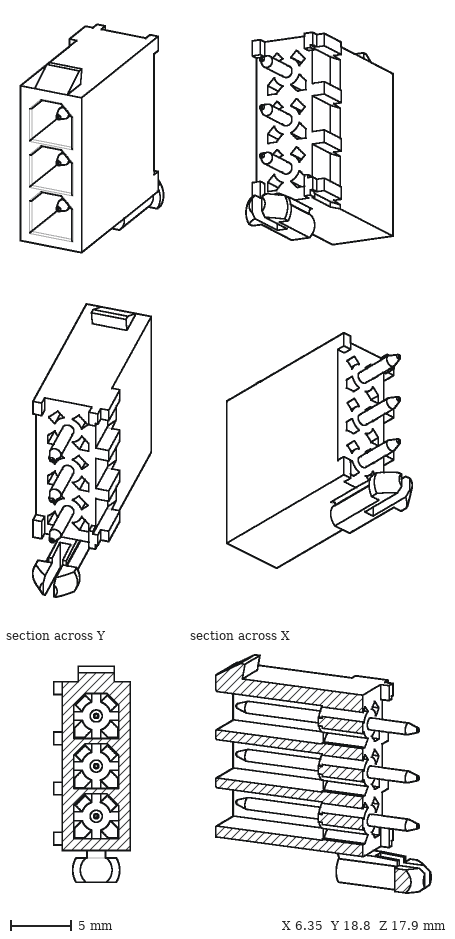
import cadquery as cq
import math

body_width = 5.65
body_depth = 13.52
body_height = 13.97
contact_count = 3
pitch = 4.15
center_x = body_width / 2
center_z = body_height / 2

cavity_width = 4.0
cavity_corner = 1.05
lead_in_radius = 0.15
cavity_depth = 9.39

hub_radius = 1.22
arm_width = 0.71
floor_step = 0.38
window_inset = 0.23
window_width = 1.13

pin_diameter = 1.0
pin_front = 1.28
pin_back = 18.01
pin_taper = 1.01
pin_tip = 0.11
pin_tip_base_radius = 0.2
pin_end_radius = 0.1

rib_projection = 0.7
rib_thickness = 1.07
rib_front = 10.52
recess_depth = 0.43
ramp_front = 9.39
ramp_back = 10.3
recess_narrowing = 0.1
foot_recess_depth = recess_depth / 2

foot_width = 0.77
foot_length = 0.77
upper_foot_height = 1.3
lower_foot_height = 1.78
foot_back = body_depth + foot_length

latch_width = 3.0
latch_height = 1.3
latch_ramp_end = 2.25
latch_top_back = 2.72
latch_foot_back = 2.48

peg_front = 11.05
peg_back = 18.78
peg_height = 2.03
peg_drop = 0.6
peg_radius = 1.31
head_front = 16.41
head_cone_front = 17.05
head_radius = 1.95
head_end_radius = 0.75
slot_width = 0.92
neck_width = 1.54
neck_fillet = peg_drop
neck_fall = 0.13
peg_center_z = -peg_drop - peg_height / 2


def block(x0, x1, y0, y1, z0, z1):
    """Box between two opposite corners."""
    return cq.Workplane("XY").box(x1 - x0, y1 - y0, z1 - z0, centered=False).translate((x0, y0, z0))


def section(y, z):
    """XZ work plane at depth y, centred across the housing at height z."""
    return cq.Workplane("XZ", origin=(center_x, y, z))


def cavity_outline(inset):
    """Square with its two upper corners cut off, offset inwards by inset."""
    half = cavity_width / 2 - inset
    corner = half - (cavity_corner - inset * (2 - math.sqrt(2)))
    return [(-half, -half), (half, -half), (half, corner), (corner, half), (-corner, half), (-half, corner)]


def cavity_prism(z, inset, y0, y1):
    return section(y0, z).polyline(cavity_outline(inset)).close().extrude(y0 - y1)


def disc(z, radius, y0, y1):
    return section(y0, z).circle(radius).extrude(y0 - y1)


def cavity(z):
    """Everything removed from the housing for one contact, before its mouth is rounded."""
    pocket = cavity_prism(z, lead_in_radius, 0, cavity_depth)

    floor_y = cavity_depth + floor_step
    hub = disc(z, hub_radius, cavity_depth, body_depth)
    arms = (
        section(cavity_depth, z).rect(arm_width, cavity_width).extrude(-floor_step)
        .union(section(cavity_depth, z).rect(cavity_width, arm_width).extrude(-floor_step))
    )
    step = cavity_prism(z, lead_in_radius, cavity_depth, floor_y).cut(arms).cut(hub)

    windows = cavity_prism(z, window_inset, cavity_depth, body_depth).cut(hub)
    diagonals = cq.Workplane("XY")
    for angle in (45, -45):
        diagonals = diagonals.union(
            section(cavity_depth, z)
            .transformed(rotate=(0, 0, angle))
            .rect(window_width, 2 * cavity_width)
            .extrude(cavity_depth - body_depth)
        )
    return pocket.union(step).union(windows.intersect(diagonals))


def pin(z):
    radius = pin_diameter / 2
    profile = [
        (0, pin_front),
        (pin_end_radius, pin_front),
        (pin_tip_base_radius, pin_front + pin_tip),
        (radius, pin_front + pin_taper),
        (radius, pin_back - pin_taper),
        (pin_tip_base_radius, pin_back - pin_tip),
        (pin_end_radius, pin_back),
        (0, pin_back),
    ]
    shape = cq.Workplane("XY").polyline(profile).close().revolve(360, (0, 0), (0, 1))
    return shape.translate((center_x, 0, z))


def recess(top, foot_recess):
    """Recess in the -X wall below a rib, ending in a ramp that narrows slightly."""
    bottom = top - (pitch - rib_thickness)
    plan = [(0, ramp_front), (recess_depth, ramp_back), (recess_depth, body_depth), (0, body_depth)]
    outline = [
        (body_depth, bottom),
        (rib_front, bottom),
        (ramp_front, bottom + recess_narrowing),
        (ramp_front, top - recess_narrowing),
        (rib_front, top),
        (body_depth, top),
    ]
    ramped = cq.Workplane("XY", origin=(0, 0, bottom)).polyline(plan).close().extrude(top - bottom)
    in_wall = ramped.intersect(cq.Workplane("YZ").polyline(outline).close().extrude(recess_depth))
    return in_wall.union(block(0, foot_recess, body_depth, foot_back, bottom, top))


def latch():
    profile = [
        (0, body_height),
        (latch_ramp_end, body_height + latch_height),
        (latch_top_back, body_height + latch_height),
        (latch_foot_back, body_height),
    ]
    wedge = cq.Workplane("YZ", origin=(center_x, 0, 0)).polyline(profile).close()
    return wedge.extrude(latch_width / 2, both=True)


def snap_peg():
    """Flattened round shaft with a split conical head, joined to the housing by a neck."""
    shaft = disc(peg_center_z, peg_radius, peg_front, head_front)
    collar = disc(peg_center_z, head_radius, head_front, head_cone_front)
    cone = (
        section(head_cone_front, peg_center_z)
        .circle(head_radius)
        .workplane(offset=head_cone_front - peg_back)
        .circle(head_end_radius)
        .loft()
    )
    flats = block(
        center_x - head_radius, center_x + head_radius,
        peg_front, peg_back,
        -peg_drop - peg_height, -peg_drop,
    )
    peg = shaft.union(collar).union(cone).intersect(flats)

    fillet_middle = neck_fillet * (1 - math.sqrt(0.5))
    neck = (
        cq.Workplane("YZ", origin=(center_x, 0, 0))
        .moveTo(peg_front - neck_fillet, 0)
        .threePointArc((peg_front - fillet_middle, -fillet_middle), (peg_front, -neck_fillet))
        .lineTo(peg_front, peg_center_z)
        .lineTo(head_front, peg_center_z)
        .lineTo(head_front, -neck_fall)
        .lineTo(foot_back, 0)
        .close()
        .extrude(neck_width / 2, both=True)
    )
    slot = block(
        center_x - slot_width / 2, center_x + slot_width / 2,
        foot_back, peg_back,
        -peg_drop - peg_height, 0,
    )
    return peg.union(neck).cut(slot)


housing = block(0, body_width, 0, body_depth, 0, body_height)

for foot_x in (0, body_width - foot_width):
    upper_z = body_height - upper_foot_height
    housing = housing.union(block(foot_x, foot_x + foot_width, body_depth, foot_back, upper_z, body_height))
    housing = housing.union(block(foot_x, foot_x + foot_width, body_depth, foot_back, 0, lower_foot_height))

for index in range(contact_count + 1):
    rib_top = body_height - index * pitch
    rib_bottom = rib_top - rib_thickness
    outermost = index in (0, contact_count)
    foot_recess = foot_recess_depth if outermost else recess_depth
    housing = housing.cut(recess(rib_bottom, foot_recess))
    housing = housing.union(block(-rib_projection, 0, rib_front, body_depth, rib_bottom, rib_top))

contact_heights = [center_z + (index - (contact_count - 1) / 2) * pitch for index in range(contact_count)]
for contact_z in contact_heights:
    housing = housing.cut(cavity(contact_z))

inside_face = cq.selectors.BoxSelector(
    (lead_in_radius, -lead_in_radius, lead_in_radius),
    (body_width - lead_in_radius, lead_in_radius, body_height - lead_in_radius),
)
housing = housing.faces("<Y").edges(inside_face).fillet(lead_in_radius)

for contact_z in contact_heights:
    housing = housing.union(pin(contact_z))

result = housing.union(latch()).union(snap_peg())